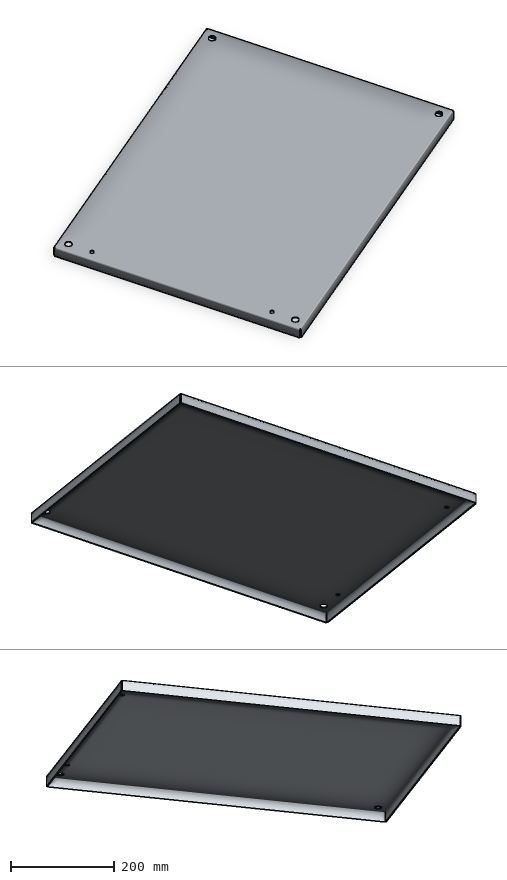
import cadquery as cq

width = 533.4
length = 685.8
height = 22.23

sheet_thickness = 2.4
inner_bend_radius = 0.82
outer_bend_radius = sheet_thickness + inner_bend_radius

corner_setback = 2.66
side_flange_length = length - 2 * corner_setback
end_flange_length = width - 2 * corner_setback
flat_width = width - 2 * outer_bend_radius
flat_length = length - 2 * outer_bend_radius

mounting_hole_diameter = 14.3
mounting_hole_inset = 22.5
small_hole_diameter = 7.92
small_hole_spacing = 387.35

mounting_hole_x = width / 2 - mounting_hole_inset
mounting_hole_y = length / 2 - mounting_hole_inset


def make_flat_panel():
    """Flat sheet with its outer face at Z = height."""
    underside = height - sheet_thickness
    return (
        cq.Workplane("XY")
        .workplane(offset=underside)
        .rect(flat_width, flat_length)
        .extrude(sheet_thickness)
    )


def make_flange(flange_length, bend_start):
    """Bend and downward flange on the +X side, running along Y, starting at X = bend_start."""
    bend_center_z = height - outer_bend_radius
    outer_face = bend_start + outer_bend_radius
    inner_face = bend_start + inner_bend_radius
    return (
        cq.Workplane("XZ")
        .moveTo(bend_start, height)
        .radiusArc((outer_face, bend_center_z), outer_bend_radius)
        .lineTo(outer_face, 0)
        .lineTo(inner_face, 0)
        .lineTo(inner_face, bend_center_z)
        .radiusArc((bend_start, height - sheet_thickness), -inner_bend_radius)
        .close()
        .extrude(flange_length / 2, both=True)
    )


def add_flanges(panel):
    """Fold a flange down along each of the four sides."""
    side_flange = make_flange(side_flange_length, flat_width / 2)
    end_flange = make_flange(end_flange_length, flat_length / 2).rotate((0, 0, 0), (0, 0, 1), 90)
    for flange in (side_flange, end_flange):
        for angle in (0, 180):
            panel = panel.union(flange.rotate((0, 0, 0), (0, 0, 1), angle))
    return panel


def cut_holes(panel, diameter, centers):
    """Cut round holes through the flat sheet."""
    cutter = (
        cq.Workplane("XY")
        .pushPoints(centers)
        .circle(diameter / 2)
        .extrude(height)
    )
    return panel.cut(cutter)


mounting_hole_centers = [
    (x, y)
    for x in (-mounting_hole_x, mounting_hole_x)
    for y in (-mounting_hole_y, mounting_hole_y)
]
small_hole_centers = [
    (x, -mounting_hole_y)
    for x in (-small_hole_spacing / 2, small_hole_spacing / 2)
]

result = add_flanges(make_flat_panel())
result = cut_holes(result, mounting_hole_diameter, mounting_hole_centers)
result = cut_holes(result, small_hole_diameter, small_hole_centers)